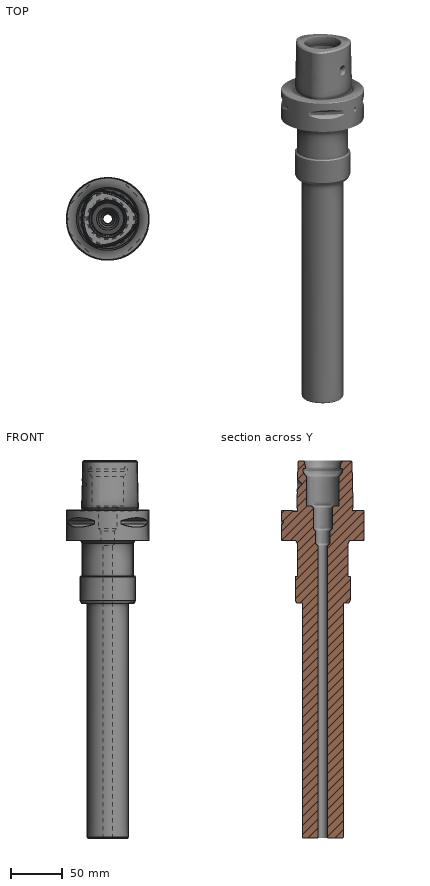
import cadquery as cq
import math

TOTAL_LENGTH = 365.0
SHANK_LENGTH = 47.8
FLANGE_HEIGHT = 29.5
COLLAR_TOP_Z = 253.3
COLLAR_HEIGHT = 26.3
FLANGE_TOP_Z = TOTAL_LENGTH - SHANK_LENGTH
FLANGE_BOTTOM_Z = FLANGE_TOP_Z - FLANGE_HEIGHT
COLLAR_BOTTOM_Z = COLLAR_TOP_Z - COLLAR_HEIGHT

BAR_DIAMETER = 40.0
COLLAR_DIAMETER = 53.5
NECK_DIAMETER = 49.5
FLANGE_DIAMETER = 80.0

BAR_CHAMFER = 1.0
COLLAR_TOP_CHAMFER = 0.7
COLLAR_CHAMFER_INSET = 1.5
COLLAR_CHAMFER_HEIGHT = 3.0
NECK_FLARE_WIDTH = 1.5
NECK_FLARE_HEIGHT = 2.5
FLANGE_CHAMFER = 0.5

RECESS_DIAMETER = 60.5
RECESS_FLOOR_DIAMETER = 57.5
RECESS_DEPTH = 1.0

LOBE_COUNT = 3
SHANK_BASE_WIDTH = 55.0
LOBE_RADIUS = 14.0
TAPER_ANGLE = math.degrees(math.atan(1 / 40))
SHANK_TOP_CHAMFER = 1.28
UNDERCUT_HEIGHT = 2.0
UNDERCUT_INSET = 0.55

MOUTH_DIAMETER = 36.5
ENTRY_TOP_DIAMETER = 35.8
ENTRY_CONE_DIAMETER = 33.0
ENTRY_CONE_DEPTH = 7.0
ENTRY_LAND_DEPTH = 8.0
GROOVE_DIAMETER = 38.0
GROOVE_DEPTH = 10.5
SHOULDER_DIAMETER = 34.5
SHOULDER_DEPTH = 13.5
CHAMBER_DIAMETER = 30.5
CHAMBER_DEPTH = 43.8
SCREW_CHAMFER_DIAMETER = 21.5
SCREW_DIAMETER = 18.0
SCREW_DEPTH = 65.7
PILOT_DIAMETER = 13.0
PILOT_DEPTH = 80.3
COOLANT_DIAMETER = 9.0

DIMPLE_DIAMETER = 10.2
DIMPLE_BELOW_TOP = 23.0
INDEX_DIMPLE_DIAMETER = 4.5
DIMPLE_TIP_ANGLE = 95.0

SLOT_COUNT = 4
SLOT_FLOOR_DISTANCE = 35.8
SLOT_FLOOR_HALF_HEIGHT = 1.5
SLOT_SIDE_ANGLE = 37.0
SLOT_CLEARANCE = 3.5
SLOT_BELOW_FLANGE_TOP = 12.0
SLOT_Z = FLANGE_TOP_Z - SLOT_BELOW_FLANGE_TOP


def polar(radius, angle):
    return radius * math.cos(math.radians(angle)), radius * math.sin(math.radians(angle))


def lobe_center_distance(width, lobe_radius):
    """Distance from the axis to each corner arc center that keeps the width constant."""
    return (width - 2 * lobe_radius) / math.sqrt(3)


def lobed_outline(width, lobe_radius, z):
    """Rounded triangle whose corner arcs blend into side arcs; one lobe points to +X."""
    lobe_distance = lobe_center_distance(width, lobe_radius)
    lobe_reach = lobe_distance + lobe_radius
    lobe_step = 360.0 / LOBE_COUNT
    blend_angle = lobe_step / 4

    def blend_point(lobe_angle, side):
        center_x, center_y = polar(lobe_distance, lobe_angle)
        offset_x, offset_y = polar(lobe_radius, lobe_angle + side * blend_angle)
        return center_x + offset_x, center_y + offset_y

    outline = cq.Workplane("XY").workplane(offset=z).moveTo(*blend_point(0, -1))
    for index in range(LOBE_COUNT):
        lobe_angle = index * lobe_step
        side_middle = polar(width - lobe_reach, lobe_angle + lobe_step / 2)
        outline = outline.threePointArc(polar(lobe_reach, lobe_angle), blend_point(lobe_angle, 1))
        outline = outline.threePointArc(side_middle, blend_point(lobe_angle + lobe_step, -1))
    return outline.close()


def turned(points):
    """Revolve a half profile of (radius, z) points about the Z axis."""
    return cq.Workplane("XZ").polyline(points).close().revolve(360, (0, 0), (0, 1))


def make_body():
    bar_radius = BAR_DIAMETER / 2
    collar_radius = COLLAR_DIAMETER / 2
    neck_radius = NECK_DIAMETER / 2
    flange_radius = FLANGE_DIAMETER / 2
    recess_floor_z = FLANGE_TOP_Z - RECESS_DEPTH
    return turned([
        (0, 0),
        (bar_radius - BAR_CHAMFER, 0),
        (bar_radius, BAR_CHAMFER),
        (bar_radius, COLLAR_BOTTOM_Z),
        (collar_radius - COLLAR_CHAMFER_INSET, COLLAR_BOTTOM_Z),
        (collar_radius, COLLAR_BOTTOM_Z + COLLAR_CHAMFER_HEIGHT),
        (collar_radius, COLLAR_TOP_Z - COLLAR_TOP_CHAMFER),
        (collar_radius - COLLAR_TOP_CHAMFER, COLLAR_TOP_Z),
        (neck_radius, COLLAR_TOP_Z),
        (neck_radius, FLANGE_BOTTOM_Z - NECK_FLARE_HEIGHT),
        (neck_radius + NECK_FLARE_WIDTH, FLANGE_BOTTOM_Z),
        (flange_radius, FLANGE_BOTTOM_Z),
        (flange_radius, FLANGE_TOP_Z - FLANGE_CHAMFER),
        (flange_radius - FLANGE_CHAMFER, FLANGE_TOP_Z),
        (RECESS_DIAMETER / 2, FLANGE_TOP_Z),
        (RECESS_FLOOR_DIAMETER / 2, recess_floor_z),
        (0, recess_floor_z),
    ])


def make_shank():
    taper_start_z = FLANGE_TOP_Z + UNDERCUT_HEIGHT
    taper = lobed_outline(SHANK_BASE_WIDTH, LOBE_RADIUS, taper_start_z).extrude(
        TOTAL_LENGTH - taper_start_z, taper=TAPER_ANGLE
    )
    taper = taper.faces(">Z").edges().chamfer(SHANK_TOP_CHAMFER)
    undercut_z = FLANGE_TOP_Z - RECESS_DEPTH
    undercut = lobed_outline(
        SHANK_BASE_WIDTH - 2 * UNDERCUT_INSET, LOBE_RADIUS - UNDERCUT_INSET, undercut_z
    ).extrude(taper_start_z - undercut_z)
    return taper.union(undercut)


def shank_flat_distance(z):
    """Distance from the axis to the middle of a tapered side face at height z."""
    lobe_distance = lobe_center_distance(SHANK_BASE_WIDTH, LOBE_RADIUS)
    base_distance = SHANK_BASE_WIDTH - LOBE_RADIUS - lobe_distance
    rise = z - FLANGE_TOP_Z - UNDERCUT_HEIGHT
    return base_distance - rise * math.tan(math.radians(TAPER_ANGLE))


def make_bore():
    """Stepped bore: entry cone, clamping groove, chamber, screw hole and coolant hole."""

    def cone_end(start_depth, start_diameter, end_diameter):
        """Depth at which a 45 degree cone reaches its smaller diameter."""
        return start_depth + (start_diameter - end_diameter) / 2

    stations = [
        (MOUTH_DIAMETER, 0),
        (ENTRY_TOP_DIAMETER, cone_end(0, MOUTH_DIAMETER, ENTRY_TOP_DIAMETER)),
        (ENTRY_CONE_DIAMETER, ENTRY_CONE_DEPTH),
        (ENTRY_CONE_DIAMETER, ENTRY_LAND_DEPTH),
        (GROOVE_DIAMETER, ENTRY_LAND_DEPTH),
        (GROOVE_DIAMETER, GROOVE_DEPTH),
        (SHOULDER_DIAMETER, SHOULDER_DEPTH),
        (CHAMBER_DIAMETER, cone_end(SHOULDER_DEPTH, SHOULDER_DIAMETER, CHAMBER_DIAMETER)),
        (CHAMBER_DIAMETER, CHAMBER_DEPTH),
        (SCREW_CHAMFER_DIAMETER, CHAMBER_DEPTH),
        (SCREW_DIAMETER, cone_end(CHAMBER_DEPTH, SCREW_CHAMFER_DIAMETER, SCREW_DIAMETER)),
        (SCREW_DIAMETER, SCREW_DEPTH),
        (PILOT_DIAMETER, cone_end(SCREW_DEPTH, SCREW_DIAMETER, PILOT_DIAMETER)),
        (PILOT_DIAMETER, PILOT_DEPTH),
        (COOLANT_DIAMETER, cone_end(PILOT_DEPTH, PILOT_DIAMETER, COOLANT_DIAMETER)),
        (COOLANT_DIAMETER, TOTAL_LENGTH),
    ]
    wall = [(diameter / 2, TOTAL_LENGTH - depth) for diameter, depth in stations]
    return turned([(0, TOTAL_LENGTH)] + wall + [(0, 0)])


def make_dimple(diameter, surface_x, z):
    """Cone sunk along +X from a mouth at surface_x, with a clearance cylinder outside the mouth."""
    radius = diameter / 2
    depth = radius / math.tan(math.radians(DIMPLE_TIP_ANGLE / 2))
    clearance = radius
    return (
        cq.Workplane("XY", origin=(surface_x, 0, z))
        .polyline([(depth, 0), (0, radius), (-clearance, radius), (-clearance, 0)])
        .close()
        .revolve(360, (0, 0), (1, 0))
    )


def make_gripper_slots():
    reach = FLANGE_DIAMETER / 2 + SLOT_CLEARANCE
    rise = (reach - SLOT_FLOOR_DISTANCE) * math.tan(math.radians(SLOT_SIDE_ANGLE))
    mouth_half_height = SLOT_FLOOR_HALF_HEIGHT + rise
    cutter = (
        cq.Workplane("XZ", origin=(0, 0, SLOT_Z))
        .polyline([
            (SLOT_FLOOR_DISTANCE, -SLOT_FLOOR_HALF_HEIGHT),
            (reach, -mouth_half_height),
            (reach, mouth_half_height),
            (SLOT_FLOOR_DISTANCE, SLOT_FLOOR_HALF_HEIGHT),
        ])
        .close()
        .extrude(FLANGE_DIAMETER / 2, both=True)
    )
    slot_step = 360.0 / SLOT_COUNT
    slots = cq.Workplane("XY")
    for index in range(SLOT_COUNT):
        slots = slots.union(cutter.rotate((0, 0, 0), (0, 0, 1), (index + 0.5) * slot_step))
    return slots


dimple_z = TOTAL_LENGTH - DIMPLE_BELOW_TOP
dimple_x = -shank_flat_distance(dimple_z)
shank_dimple = make_dimple(DIMPLE_DIAMETER, dimple_x, dimple_z)
index_dimple = make_dimple(INDEX_DIMPLE_DIAMETER, -FLANGE_DIAMETER / 2, SLOT_Z)

result = (
    make_body()
    .union(make_shank())
    .cut(make_bore())
    .cut(shank_dimple)
    .cut(index_dimple)
    .cut(make_gripper_slots())
)